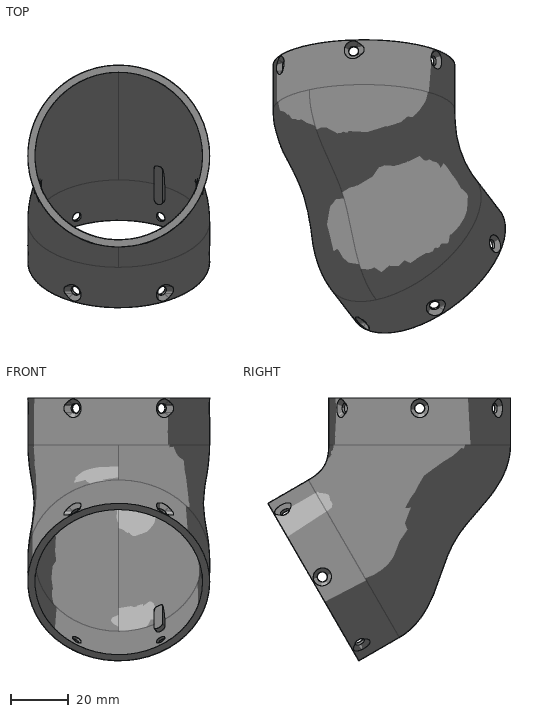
import cadquery as cq
import math

RING_OUTER_DIAMETER = 63.0
RING_INNER_DIAMETER = 58.0
RING_LENGTH = 16.2
BEND_ANGLE = 60.0
LEG_LENGTH = 42.5

WAIST_WIDTH = 58.6
WAIST_HEEL_INSET = 10.4
WAIST_CROTCH_INSET = 0.4
ELBOW_SECTIONS = 17

SCREW_COUNT = 6
SCREW_DIAMETER = 3.4
SCREW_HEAD_DIAMETER = 6.4
SCREW_SETBACK = 3.6

KEY_WIDTH = 3.4
KEY_LENGTH = 15.6
KEY_SETBACK = 9.4
KEY_TIP_RADIUS = 27.4
KEY_ANGLE = 60.0
KEY_ROOT = 0.6

SCREW_RADIUS = SCREW_DIAMETER / 2
SCREW_HEAD_RADIUS = SCREW_HEAD_DIAMETER / 2
SCREW_HEAD_DEPTH = SCREW_HEAD_RADIUS - SCREW_RADIUS
RELIEF_TRAVEL = SCREW_HEAD_DIAMETER
OUTER_RADIUS = RING_OUTER_DIAMETER / 2
INNER_RADIUS = RING_INNER_DIAMETER / 2
WALL = OUTER_RADIUS - INNER_RADIUS
WAIST_SIDE_INSET = (RING_OUTER_DIAMETER - WAIST_WIDTH) / 2
HINGE_DISTANCE = (LEG_LENGTH - RING_LENGTH) / math.tan(math.radians(BEND_ANGLE / 2))

UPPER_FACE = cq.Plane(origin=(0, 0, 0), xDir=(1, 0, 0), normal=(0, 0, -1))
BEND = math.radians(BEND_ANGLE)
LOWER_DIRECTION = cq.Vector(0, -math.sin(BEND), -math.cos(BEND))
LOWER_FACE = cq.Plane(
    origin=cq.Vector(0, 0, -LEG_LENGTH) + LOWER_DIRECTION * LEG_LENGTH,
    xDir=(1, 0, 0),
    normal=LOWER_DIRECTION * -1,
)


def ring_cylinder(face, radius):
    """Solid cylinder running the ring length inward from an end face."""
    return cq.Workplane(face).circle(radius).extrude(RING_LENGTH)


def elbow_section(turn, offset):
    """Oval wire of the elbow at an angle round the hinge, its skin moved inward by offset."""
    waist_share = (1 - math.cos(2 * math.pi * turn / BEND_ANGLE)) / 2
    heel = HINGE_DISTANCE + OUTER_RADIUS - WAIST_HEEL_INSET * waist_share - offset
    crotch = HINGE_DISTANCE - OUTER_RADIUS + WAIST_CROTCH_INSET * waist_share + offset
    half_width = OUTER_RADIUS - WAIST_SIDE_INSET * waist_share - offset
    half_depth = (heel - crotch) / 2

    angle = math.radians(turn)
    outward = cq.Vector(0, math.cos(angle), -math.sin(angle))
    hinge = cq.Vector(0, -HINGE_DISTANCE, -RING_LENGTH)
    center = hinge + outward * ((heel + crotch) / 2)
    plane = cq.Plane(origin=center, xDir=(1, 0, 0), normal=cq.Vector(1, 0, 0).cross(outward))
    outline = cq.Workplane(plane).moveTo(0, -half_depth)
    outline = outline.ellipseArc(half_width, half_depth, -90, 90, startAtCurrent=True)
    outline = outline.ellipseArc(half_width, half_depth, 90, 270, startAtCurrent=True)
    return outline.wire().val()


def elbow(offset):
    """Smooth solid between the two rings, its skin moved inward by offset."""
    step = BEND_ANGLE / (ELBOW_SECTIONS - 1)
    wires = [elbow_section(index * step, offset) for index in range(ELBOW_SECTIONS)]
    return cq.Workplane(cq.Solid.makeLoft(wires))


def filled_shape(radius):
    """Solid pipe of a given ring radius: upper ring, elbow and lower ring."""
    shape = ring_cylinder(UPPER_FACE, radius)
    shape = shape.union(elbow(OUTER_RADIUS - radius))
    return shape.union(ring_cylinder(LOWER_FACE, radius))


def radial_plane(face, angle, setback, radius):
    """Plane square to a ring radius at an angle from X, its normal outward and its Y along the ring axis."""
    turn = math.radians(angle)
    outward = face.xDir * math.cos(turn) + face.yDir * math.sin(turn)
    origin = face.origin + face.zDir * setback + outward * radius
    return cq.Plane(origin=origin, xDir=outward.cross(face.zDir) * -1, normal=outward)


def screw_hole(face, angle):
    """Countersunk cutter through the ring wall."""
    seat = radial_plane(face, angle, SCREW_SETBACK, OUTER_RADIUS)
    shank = cq.Workplane(seat).circle(SCREW_RADIUS).extrude(-2 * WALL)
    head = cq.Solid.makeCone(
        SCREW_HEAD_RADIUS, SCREW_RADIUS, SCREW_HEAD_DEPTH, seat.origin, seat.zDir * -1
    )
    return shank.union(cq.Workplane(head))


def head_relief(face, angle):
    """Cutter swept by the countersink of an off-axis hole as it slides parallel to X out of the ring."""
    seat = radial_plane(face, angle, SCREW_SETBACK, OUTER_RADIUS)
    root = seat.origin - seat.zDir * SCREW_HEAD_DEPTH
    sideways = face.xDir * math.copysign(1, seat.zDir.x)
    lean = sideways.getAngle(seat.zDir)
    around = (sideways - seat.zDir * math.cos(lean)).normalized()
    along = seat.zDir.cross(around)
    travel = sideways * RELIEF_TRAVEL

    graze = math.acos(1 / math.tan(lean))
    to_left = around * math.cos(graze) + along * math.sin(graze)
    to_right = around * math.cos(graze) - along * math.sin(graze)
    flanks = cq.Wire.makePolygon(
        [
            root + to_left * SCREW_RADIUS,
            seat.origin + to_left * SCREW_HEAD_RADIUS,
            seat.origin + to_right * SCREW_HEAD_RADIUS,
            root + to_right * SCREW_RADIUS,
        ],
        close=True,
    )
    floor = cq.Wire.makeCircle(SCREW_RADIUS, root, seat.zDir)
    sweep = cq.Workplane(cq.Solid.extrudeLinear(flanks, [], travel))
    return sweep.union(cq.Workplane(cq.Solid.extrudeLinear(floor, [], travel)))


def key():
    """Round-ended rib that stands on the inside wall of the lower ring and runs into the elbow."""
    tip = radial_plane(LOWER_FACE, KEY_ANGLE, KEY_SETBACK + KEY_LENGTH / 2, KEY_TIP_RADIUS)
    height = INNER_RADIUS + KEY_ROOT - KEY_TIP_RADIUS
    return cq.Workplane(tip).slot2D(KEY_LENGTH, KEY_WIDTH, 90).extrude(height)


result = filled_shape(OUTER_RADIUS).cut(filled_shape(INNER_RADIUS))
result = result.union(key())
for ring_face in (UPPER_FACE, LOWER_FACE):
    for screw in range(SCREW_COUNT):
        screw_angle = screw * 360 / SCREW_COUNT
        result = result.cut(screw_hole(ring_face, screw_angle))
        if screw_angle % 180:
            result = result.cut(head_relief(ring_face, screw_angle))